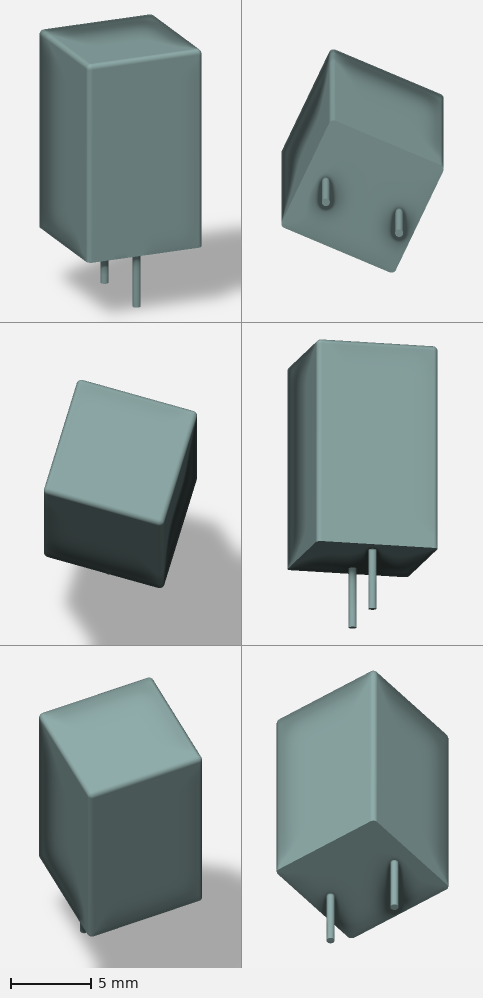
import cadquery as cq

total_height = 16.8
case_width = 7.8
case_height = 13.0
edge_radius = 0.3

pin_diameter = 0.5
pin_pitch = 5.0
pin_length = total_height - case_height


def make_case():
    """Square case standing on Z = 0, rounded on every edge except the bottom ones."""
    block = cq.Workplane("XY").box(case_width, case_width, case_height, centered=(True, True, False))
    return block.edges("|Z or >Z").fillet(edge_radius)


def make_pin(x):
    """Round lead hanging from the flat underside of the case."""
    return cq.Workplane("XY").center(x, 0).circle(pin_diameter / 2).extrude(-pin_length)


case = make_case()
pins = [make_pin(side * pin_pitch / 2) for side in (-1, 1)]

result = cq.Compound.makeCompound([case.val(), *[pin.val() for pin in pins]])